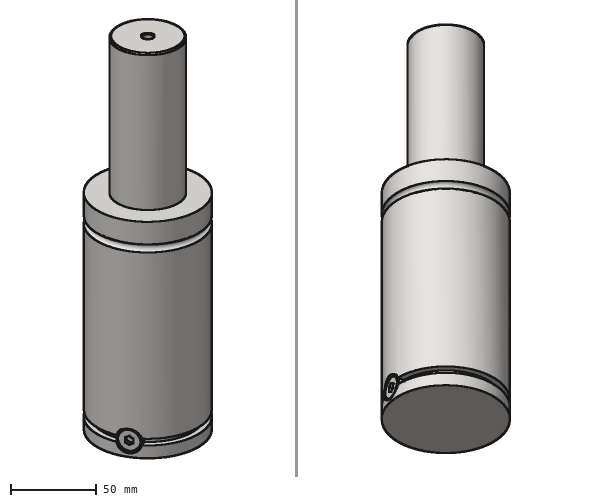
import cadquery as cq
import math

total_height = 259.0
body_radius = 75.0 / 2
body_height = 156.0

rod_radius = 45.0 / 2
rod_chamfer = 1.0

hole_radius = 6.7 / 2
hole_mouth_radius = 8.0 / 2
hole_depth = 13.0
drill_tip_angle = 118.0

base_groove_bottom = 8.5
base_groove_top = 13.0
base_groove_radius = 33.2

round_groove_height = 138.3
round_groove_radius = 2.5

port_height = 10.5
port_radius = 16.0 / 2
plug_face_radius = 14.0 / 2
plug_face_y = -36.8
plug_rim_y = -36.0
pocket_floor_y = -31.0
socket_corner_diameter = 6.0
socket_depth = 3.0


def make_body():
    """Revolve the stepped cylinder and rod, with both grooves."""
    return (
        cq.Workplane("XZ")
        .lineTo(body_radius, 0)
        .lineTo(body_radius, base_groove_bottom)
        .lineTo(base_groove_radius, base_groove_bottom)
        .lineTo(base_groove_radius, base_groove_top)
        .lineTo(body_radius, base_groove_top)
        .lineTo(body_radius, round_groove_height - round_groove_radius)
        .threePointArc(
            (body_radius - round_groove_radius, round_groove_height),
            (body_radius, round_groove_height + round_groove_radius),
        )
        .lineTo(body_radius, body_height)
        .lineTo(rod_radius, body_height)
        .lineTo(rod_radius, total_height - rod_chamfer)
        .lineTo(rod_radius - rod_chamfer, total_height)
        .lineTo(0, total_height)
        .close()
        .revolve(360, (0, 0, 0), (0, 1, 0))
    )


def make_rod_hole():
    """Countersunk blind hole with a conical drill tip."""
    mouth_depth = hole_mouth_radius - hole_radius
    tip_depth = hole_radius / math.tan(math.radians(drill_tip_angle / 2))
    hole_floor = total_height - hole_depth
    return (
        cq.Workplane("XZ")
        .moveTo(0, total_height)
        .lineTo(hole_mouth_radius, total_height)
        .lineTo(hole_radius, total_height - mouth_depth)
        .lineTo(hole_radius, hole_floor)
        .lineTo(0, hole_floor - tip_depth)
        .close()
        .revolve(360, (0, 0, 0), (0, 1, 0))
    )


def port_plane(y):
    """Workplane centred on the port, with its normal toward -Y."""
    return cq.Workplane("XZ", origin=(0, y, port_height))


def make_port_pocket():
    """Round pocket that receives the plug."""
    return port_plane(pocket_floor_y).circle(port_radius).extrude(body_radius + pocket_floor_y)


def make_plug():
    """Plug with a stepped rim and a hexagonal socket."""
    plug = (
        port_plane(pocket_floor_y)
        .circle(port_radius)
        .extrude(pocket_floor_y - plug_rim_y)
        .union(port_plane(plug_rim_y).circle(plug_face_radius).extrude(plug_rim_y - plug_face_y))
    )
    socket = (
        port_plane(plug_face_y)
        .transformed(rotate=(0, 0, 90))
        .polygon(6, socket_corner_diameter)
        .extrude(-socket_depth)
    )
    return plug.cut(socket)


result = make_body().cut(make_rod_hole()).cut(make_port_pocket()).union(make_plug())